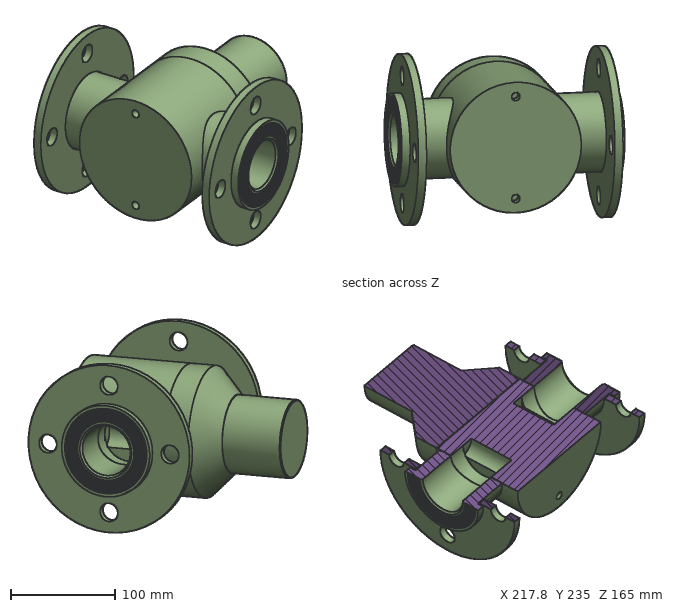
import cadquery as cq

body_diameter = 128.0
body_front = -57.5
body_length = 100.0
body_back = body_front + body_length

front_hole_diameter = 7.94
front_hole_offset = 50.0
front_hole_depth = 10.0

band_length = 25.0
cone_length = 25.5
cone_end_diameter = body_diameter - 2 * cone_length
spigot_diameter = 76.0
spigot_length = 59.5
spigot_chamfer = 1.0

collar_face = 108.9
collar_thickness = 8.0
collar_diameter = 90.0
pipe_diameter = 77.0
port_bore = 49.0
bore_chamfer = 2.0

groove_count = 6
groove_first_diameter = 57.95
groove_width = 0.9
groove_pitch = 2.4
groove_depth = 0.5

flange_diameter = 165.0
flange_thickness = 8.0
flange_outer_face = 100.0
flange_bore = 78.0
bolt_hole_diameter = 18.0
bolt_circle_diameter = 125.0
bolt_count = 4

port_floor = 45.0
channel_diameter = 25.0


def rod(diameter, start, end):
    """Cylinder on the X axis between two X positions."""
    return cq.Workplane("YZ", origin=(start, 0, 0)).circle(diameter / 2).extrude(end - start)


def to_side(shape, side):
    """Turn a shape made for the +X port about Z to the given side (+1 or -1)."""
    return shape if side > 0 else shape.rotate((0, 0, 0), (0, 0, 1), 180)


def make_body_cylinder():
    return cq.Workplane("XZ", origin=(0, body_back, 0)).circle(body_diameter / 2).extrude(body_length)


def make_port_recess():
    """Blind bore continuing the stub bore, with the channel sunk into its floor."""
    bore = rod(port_bore, port_floor, body_diameter / 2)
    channel = (
        cq.Workplane("XZ", origin=(port_floor, port_bore / 2, 0))
        .moveTo(0, channel_diameter / 2)
        .threePointArc((-channel_diameter / 2, 0), (0, -channel_diameter / 2))
        .close()
        .extrude(port_bore)
    )
    return bore.union(channel)


def make_body():
    body = make_body_cylinder()
    front_holes = (
        cq.Workplane("XZ", origin=(0, body_front + front_hole_depth, 0))
        .pushPoints([(0, front_hole_offset), (0, -front_hole_offset)])
        .circle(front_hole_diameter / 2)
        .extrude(front_hole_depth)
    )
    body = body.cut(front_holes)
    for side in (1, -1):
        body = body.cut(to_side(make_port_recess(), side))
    return body


def make_reducer():
    cone_start = body_back + band_length
    cone_end = cone_start + cone_length
    spigot_end = cone_end + spigot_length
    body_radius = body_diameter / 2
    spigot_radius = spigot_diameter / 2
    return (
        cq.Workplane("XY")
        .moveTo(0, body_back)
        .lineTo(body_radius, body_back)
        .lineTo(body_radius, cone_start)
        .lineTo(cone_end_diameter / 2, cone_end)
        .lineTo(spigot_radius, cone_end)
        .lineTo(spigot_radius, spigot_end - spigot_chamfer)
        .lineTo(spigot_radius - spigot_chamfer, spigot_end)
        .lineTo(0, spigot_end)
        .close()
        .revolve(360, (0, 0, 0), (0, 1, 0))
    )


def make_stub():
    pipe = rod(pipe_diameter, 0, collar_face).cut(make_body_cylinder())
    collar = rod(collar_diameter, collar_face - collar_thickness, collar_face)
    stub = pipe.union(collar).cut(rod(port_bore, 0, collar_face))
    stub = stub.faces(">X").edges(cq.selectors.RadiusNthSelector(0)).chamfer(bore_chamfer)
    for index in range(groove_count):
        inner_radius = groove_first_diameter / 2 + index * groove_pitch
        groove = (
            cq.Workplane("YZ", origin=(collar_face - groove_depth, 0, 0))
            .circle(inner_radius + groove_width)
            .circle(inner_radius)
            .extrude(groove_depth)
        )
        stub = stub.cut(groove)
    return stub


def make_flange():
    flange = rod(flange_diameter, flange_outer_face - flange_thickness, flange_outer_face)
    flange = flange.cut(rod(flange_bore, 0, collar_face))
    bolt_holes = (
        cq.Workplane("YZ")
        .polarArray(bolt_circle_diameter / 2, 0, 360, bolt_count)
        .circle(bolt_hole_diameter / 2)
        .extrude(collar_face)
    )
    return flange.cut(bolt_holes)


body = make_body()
reducer = make_reducer()
stubs = [to_side(make_stub(), side) for side in (1, -1)]
flanges = [to_side(make_flange(), side) for side in (1, -1)]

solids = [body.val(), reducer.val()]
solids += [stub.val() for stub in stubs]
solids += [flange.val() for flange in flanges]
result = cq.Compound.makeCompound(solids)